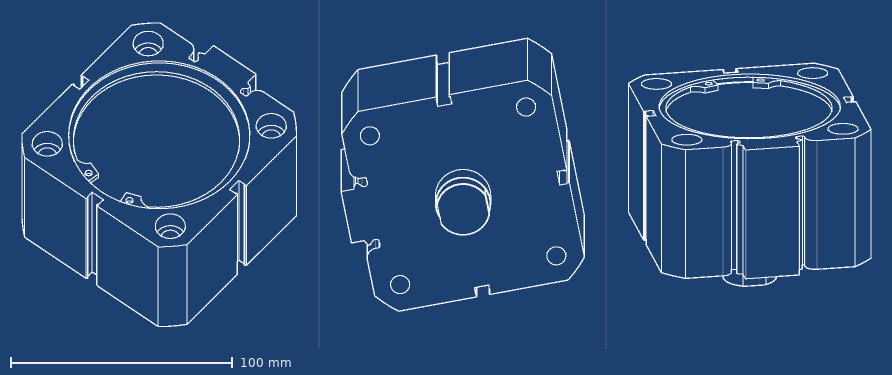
import cadquery as cq
import math

BODY_WIDTH = 96.5
BODY_HEIGHT = 62.2
HALF_WIDTH = BODY_WIDTH / 2
FLAT_HALF = 39.0
CORNER_RADIUS = math.hypot(HALF_WIDTH, FLAT_HALF)

OVERALL_DEPTH = 102.0
RAIL_TOP = OVERALL_DEPTH - HALF_WIDTH
RAIL_HALF_WIDTH = 12.4
RAIL_EDGE_FILLET = 0.3
RAIL_FOOT_Y = 47.8
RAIL_HOOK = (15.1, 46.5)
HOOK_UNDER = (14.7, 45.4)
RELIEF_FLOOR_Y = 41.3
RELIEF_INNER_TOP = (13.1, 43.9)
RELIEF_INNER_SIDE = (12.8, 42.9)
RELIEF_INNER_X = 13.7
RELIEF_OUTER_X = 16.9
RELIEF_CORNER = 0.6
SHOULDER_RADIUS = 4.7

SLOT_WIDTH = 6.5
SLOT_DEPTH = 4.5
LIP_GAP = 5.5
LIP_DEPTH = 1.0
LIP_CHAMFER = 0.4

BOLT_OFFSET = 35.9
BOLT_HOLE_DIAMETER = 8.6
COUNTERBORE_DIAMETER = 13.6
COUNTERBORE_DEPTH = 9.2

BORE_RADIUS = 40.9
RING_RECESS = 1.5
RING_THICKNESS = 2.5
GROOVE_DEPTH = 1.0
RING_OUTER_RADIUS = BORE_RADIUS + GROOVE_DEPTH
RING_INNER_RADIUS = 37.5
RING_INNER_OFFSET = -1.9
RING_TOP = BODY_HEIGHT - RING_RECESS
COVER_TOP = RING_TOP - RING_THICKNESS
COVER_THICKNESS = 10.2
COVER_BOTTOM = COVER_TOP - COVER_THICKNESS

LUG_BLEND_X = 20.7
LUG_BLEND_MID = (18.0, -33.2)
LUG_INNER_CORNER = (14.7, -30.8)
LUG_TIP_CORNER = (8.1, -33.3)
LUG_TIP_END_X = 9.5
LUG_HOLE_PLACE = (11.9, -35.7)
LUG_HOLE_DIAMETER = 3.1

ROD_DIAMETER = 25.0
ROD_LENGTH = 20.3
ROD_SHOULDER_DEPTH = 11.6
ROD_END_DIAMETER = 24.4
ROD_END_CHAMFER = 0.3
FLATS_ACROSS = 22.0
FLAT_LENGTH = 7.4


def on_circle(x, radius, center_y=0.0):
    """Point at x on the lower half of a circle centred on the Y axis."""
    return (x, center_y - math.sqrt(radius**2 - x**2))


def mirrored(point):
    return (-point[0], point[1])


def block():
    side, flat = HALF_WIDTH, FLAT_HALF
    corner_mid = CORNER_RADIUS * math.sqrt(0.5)
    outline = (
        cq.Workplane("XY")
        .moveTo(side, -flat)
        .lineTo(side, flat)
        .threePointArc((corner_mid, corner_mid), (flat, side))
        .lineTo(-flat, side)
        .threePointArc((-corner_mid, corner_mid), (-side, flat))
        .lineTo(-side, -flat)
        .threePointArc((-corner_mid, -corner_mid), (-flat, -side))
        .lineTo(flat, -side)
        .threePointArc((corner_mid, -corner_mid), (side, -flat))
        .close()
    )
    return outline.extrude(BODY_HEIGHT)


def rail():
    """Raised part of the rail, rooted in the block."""
    height = RAIL_TOP - RAIL_FOOT_Y
    return (
        cq.Workplane("XY")
        .box(2 * RAIL_HALF_WIDTH, height, BODY_HEIGHT, centered=(True, False, False))
        .translate((0, RAIL_FOOT_Y, 0))
        .edges("|Z and >Y")
        .fillet(RAIL_EDGE_FILLET)
    )


def rail_relief():
    """Hooked groove on the +X side of the rail, open to the +Y face."""
    shoulder_x = RELIEF_OUTER_X + SHOULDER_RADIUS
    shoulder_y = HALF_WIDTH - SHOULDER_RADIUS
    shoulder_reach = SHOULDER_RADIUS * math.sqrt(0.5)
    return (
        cq.Workplane("XY")
        .moveTo(RAIL_HALF_WIDTH, HALF_WIDTH)
        .lineTo(RAIL_HALF_WIDTH, RAIL_FOOT_Y)
        .lineTo(*RAIL_HOOK)
        .lineTo(*HOOK_UNDER)
        .lineTo(*RELIEF_INNER_TOP)
        .threePointArc(RELIEF_INNER_SIDE, (RELIEF_INNER_X, RELIEF_FLOOR_Y))
        .lineTo(RELIEF_OUTER_X - RELIEF_CORNER, RELIEF_FLOOR_Y)
        .lineTo(RELIEF_OUTER_X, RELIEF_FLOOR_Y + RELIEF_CORNER)
        .lineTo(RELIEF_OUTER_X, shoulder_y)
        .threePointArc(
            (shoulder_x - shoulder_reach, shoulder_y + shoulder_reach),
            (shoulder_x, HALF_WIDTH),
        )
        .close()
        .extrude(BODY_HEIGHT)
    )


def sensor_slot():
    """Lipped slot in the -Y side, along the full height."""
    face, lip = -HALF_WIDTH, LIP_GAP / 2
    right_half = [
        (lip + LIP_CHAMFER, face),
        (lip, face + LIP_CHAMFER),
        (lip, face + LIP_DEPTH),
        (SLOT_WIDTH / 2, face + LIP_DEPTH),
        (SLOT_WIDTH / 2, face + SLOT_DEPTH),
    ]
    left_half = [mirrored(point) for point in reversed(right_half)]
    return cq.Workplane("XY").polyline(right_half + left_half).close().extrude(BODY_HEIGHT)


def make_housing():
    relief = rail_relief()
    housing = block().cut(relief).cut(relief.mirror("YZ")).union(rail())

    slot = sensor_slot()
    for angle in (-90, 0, 90):
        housing = housing.cut(slot.rotate((0, 0, 0), (0, 0, 1), angle))

    housing = (
        housing.faces(">Z")
        .workplane(origin=(0, 0, BODY_HEIGHT))
        .rect(2 * BOLT_OFFSET, 2 * BOLT_OFFSET, forConstruction=True)
        .vertices()
        .cboreHole(BOLT_HOLE_DIAMETER, COUNTERBORE_DIAMETER, COUNTERBORE_DEPTH)
    )

    cover_bore = cq.Workplane("XY").workplane(offset=COVER_BOTTOM).circle(BORE_RADIUS)
    ring_groove = cq.Workplane("XY").workplane(offset=COVER_TOP).circle(RING_OUTER_RADIUS)
    rod_hole = cq.Workplane("XY").circle(ROD_DIAMETER / 2)
    return (
        housing.cut(cover_bore.extrude(BODY_HEIGHT - COVER_BOTTOM))
        .cut(ring_groove.extrude(RING_THICKNESS))
        .cut(rod_hole.extrude(COVER_BOTTOM))
    )


def make_cover():
    return (
        cq.Workplane("XY")
        .workplane(offset=COVER_BOTTOM)
        .circle(BORE_RADIUS)
        .extrude(COVER_THICKNESS)
    )


def make_retaining_ring():
    """Open ring seated in the groove, with a drilled lug at each end."""
    blend_start = on_circle(LUG_BLEND_X, RING_INNER_RADIUS, RING_INNER_OFFSET)
    tip_end = on_circle(LUG_TIP_END_X, RING_OUTER_RADIUS)
    outline = (
        cq.Workplane("XY")
        .workplane(offset=COVER_TOP)
        .moveTo(*tip_end)
        .lineTo(*LUG_TIP_CORNER)
        .lineTo(*LUG_INNER_CORNER)
        .threePointArc(LUG_BLEND_MID, blend_start)
        .threePointArc((0, RING_INNER_OFFSET + RING_INNER_RADIUS), mirrored(blend_start))
        .threePointArc(mirrored(LUG_BLEND_MID), mirrored(LUG_INNER_CORNER))
        .lineTo(*mirrored(LUG_TIP_CORNER))
        .lineTo(*mirrored(tip_end))
        .threePointArc((0, RING_OUTER_RADIUS), tip_end)
        .close()
    )
    lug_holes = (
        cq.Workplane("XY")
        .workplane(offset=COVER_TOP)
        .pushPoints([LUG_HOLE_PLACE, mirrored(LUG_HOLE_PLACE)])
        .circle(LUG_HOLE_DIAMETER / 2)
        .extrude(RING_THICKNESS)
    )
    return outline.extrude(RING_THICKNESS).cut(lug_holes)


def wrench_flat():
    """Cutter for the flat on the +Y side, ending in a 45 degree run-out."""
    flat_y = FLATS_ACROSS / 2
    flat_top = FLAT_LENGTH - ROD_LENGTH
    outer_y = ROD_DIAMETER / 2
    return (
        cq.Workplane("YZ")
        .polyline(
            [
                (flat_y, -ROD_LENGTH),
                (flat_y, flat_top),
                (outer_y, flat_top + outer_y - flat_y),
                (outer_y, -ROD_LENGTH),
            ]
        )
        .close()
        .extrude(ROD_DIAMETER / 2, both=True)
    )


def make_rod():
    """Piston rod through the housing up to the cover, with flats on its outer end."""
    shank = (
        cq.Workplane("XY")
        .workplane(offset=-ROD_SHOULDER_DEPTH)
        .circle(ROD_DIAMETER / 2)
        .extrude(ROD_SHOULDER_DEPTH + COVER_BOTTOM)
    )
    end = (
        cq.Workplane("XY")
        .workplane(offset=-ROD_LENGTH)
        .circle(ROD_END_DIAMETER / 2)
        .extrude(ROD_LENGTH - ROD_SHOULDER_DEPTH)
        .faces("<Z")
        .chamfer(ROD_END_CHAMFER)
    )
    flat = wrench_flat()
    return shank.union(end).cut(flat).cut(flat.mirror("XZ"))


housing = make_housing()
cover = make_cover()
retaining_ring = make_retaining_ring()
rod = make_rod()

result = cq.Compound.makeCompound(
    [housing.val(), cover.val(), retaining_ring.val(), rod.val()]
)